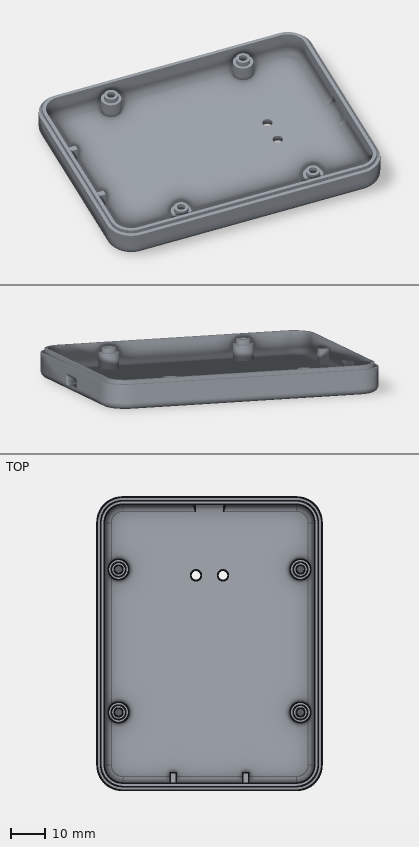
import cadquery as cq

length_x = 65.9
length_y = 85.95
height = 8.6
corner_radius = 7.6
wall = 2.15
floor_thickness = 1.8
outer_edge_radius = 2.0
inner_edge_radius = 2.0

lip_height = 1.1
lip_inset = 1.1

post_x = 26.65
post_rows_y = (21.75, -20.1)
post_diameter = 6.0
post_height = 4.55
spigot_diameter = 4.2
spigot_height = 1.5
post_bore_diameter = 2.5

floor_hole_diameter = 3.0
floor_hole_x = 3.95
floor_hole_y = 20.0

opening_width = 9.1
opening_height = 3.4
opening_corner_radius = 0.95
opening_reach = 2.6
sill_drop = 0.2

rib_x = 10.7
rib_width = 1.7
rib_length = 3.1
rib_height = post_height

inner_y = length_y / 2 - wall


def rounded_block(inset, bottom, top):
    """Block with rounded vertical corners, inset from the outer outline."""
    return (
        cq.Workplane("XY")
        .workplane(offset=bottom)
        .rect(length_x - 2 * inset, length_y - 2 * inset)
        .extrude(top - bottom)
        .edges("|Z")
        .fillet(corner_radius - inset)
    )


def tray_shell():
    body = rounded_block(0, 0, height - lip_height).faces("<Z").edges().fillet(outer_edge_radius)
    lip = rounded_block(lip_inset, height - lip_height, height)
    cavity = rounded_block(wall, floor_thickness, height).faces("<Z").edges().fillet(inner_edge_radius)
    return body.union(lip).cut(cavity)


def on_floor(points):
    return cq.Workplane("XY").workplane(offset=floor_thickness).pushPoints(points)


def screw_posts():
    centers = [(side * post_x, y) for side in (-1, 1) for y in post_rows_y]
    full_height = post_height + spigot_height
    posts = on_floor(centers).circle(post_diameter / 2).extrude(post_height)
    spigots = on_floor(centers).circle(spigot_diameter / 2).extrude(full_height)
    bores = on_floor(centers).circle(post_bore_diameter / 2).extrude(full_height)
    return posts.union(spigots), bores


def floor_holes():
    return (
        cq.Workplane("XY")
        .pushPoints([(-floor_hole_x, floor_hole_y), (floor_hole_x, floor_hole_y)])
        .circle(floor_hole_diameter / 2)
        .extrude(floor_thickness)
    )


def connector_opening():
    depth = wall + opening_reach
    sill_z = floor_thickness - sill_drop
    through_cut = (
        cq.Workplane("XY")
        .box(opening_width, depth, opening_height, centered=(True, False, False))
        .edges("|Y")
        .fillet(opening_corner_radius)
        .translate((0, length_y / 2 - depth, sill_z))
    )
    kept_floor = cq.Workplane("XY").box(length_x, 2 * inner_y, floor_thickness, centered=(True, True, False))
    return through_cut.cut(kept_floor)


def floor_ribs():
    rib_y = -inner_y + rib_length / 2
    return on_floor([(-rib_x, rib_y), (rib_x, rib_y)]).rect(rib_width, rib_length).extrude(rib_height)


posts, bores = screw_posts()
result = tray_shell().union(posts).union(floor_ribs())
result = result.cut(bores).cut(floor_holes()).cut(connector_opening())